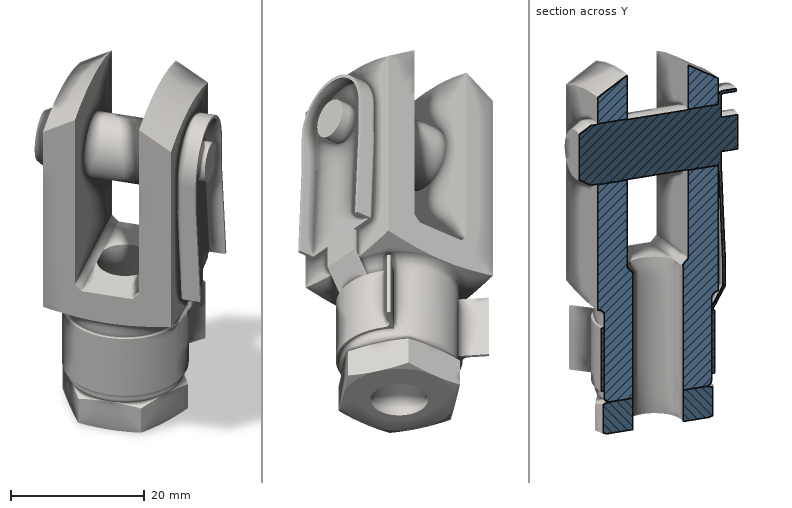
import cadquery as cq
import math

fork_width = 20.0
slot_width = fork_width / 2
slot_floor_z = 25.0
slot_chamfer = 1.0
total_height = 57.0
neck_diameter = 18.0
neck_end_round = 0.9
shoulder_z = 20.0
shoulder_fillet = 1.0
shoulder_slope = math.radians(15)
crown_axis_z = 24.0
crown_slope = math.radians(30)
bore_diameter = 8.65

nut_height = 5.0
nut_flats = 17.0
nut_chamfer_slope = math.radians(15)

pin_diameter = 10.0
pin_z = 45.0
pin_tip_x = -13.05
pin_tip_diameter = 7.75
pin_tip_length = 2.0
rivet_diameter = 6.1
rivet_end_x = 13.3

sheet = 0.5
lever_width = 14.25
lever_depth = 3.0
head_bend_radius = 0.75
leg_bend_radius = 0.55
lever_bend_z = 39.95
lever_end_z = 24.45
lever_lean = 0.7
ring_bottom_z = 6.95
ring_top_z = 17.1
tab_angle = 45
tab_end_radius = 13.55
tab_bend_radius = 1.0
strap_width = 6.25
strap_bend_z = 20.75
strap_foot_x = 8.3
strap_foot_overlap = 0.3

fork_half = fork_width / 2
neck_radius = neck_diameter / 2
corner_radius = fork_half * math.sqrt(2)
lever_end_x = fork_half + lever_lean


def cylinder_z(diameter, bottom, top):
    return cq.Workplane("XY").workplane(offset=bottom).circle(diameter / 2).extrude(top - bottom)


def cylinder_x(diameter, start, end):
    return (
        cq.Workplane("YZ", origin=(start, 0, pin_z)).circle(diameter / 2).extrude(end - start)
    )


def block_z(size_x, size_y, bottom, top):
    return cq.Workplane("XY").workplane(offset=bottom).rect(size_x, size_y).extrude(top - bottom)


def make_fork():
    shoulder_rise = (corner_radius - fork_half) * math.tan(shoulder_slope)
    shoulder_radius = neck_radius + shoulder_fillet
    arc_offset = shoulder_fillet * (1 - math.sqrt(0.5))
    turned = (
        cq.Workplane("XZ")
        .moveTo(0, nut_height)
        .lineTo(neck_radius - neck_end_round, nut_height)
        .radiusArc((neck_radius, nut_height + neck_end_round), -neck_end_round)
        .lineTo(neck_radius, shoulder_z - shoulder_fillet)
        .threePointArc(
            (neck_radius + arc_offset, shoulder_z - arc_offset),
            (shoulder_radius, shoulder_z),
        )
        .lineTo(corner_radius, shoulder_z + shoulder_rise)
        .lineTo(corner_radius, total_height)
        .lineTo(0, total_height)
        .close()
        .revolve(360, (0, 0, 0), (0, 1, 0))
    )
    fork = turned.intersect(block_z(fork_width, fork_width, nut_height, total_height))

    crown_inner = total_height - crown_axis_z
    crown_outer = crown_inner - (fork_half - slot_width / 2) * math.tan(crown_slope)
    crown = (
        cq.Workplane("XZ", origin=(0, 0, crown_axis_z))
        .moveTo(-fork_half, 0)
        .lineTo(-fork_half, crown_outer)
        .lineTo(-slot_width / 2, crown_inner)
        .lineTo(slot_width / 2, crown_inner)
        .lineTo(fork_half, crown_outer)
        .lineTo(fork_half, 0)
        .close()
        .revolve(360, (0, 0, 0), (1, 0, 0))
    )
    fork = fork.intersect(crown)

    slot = (
        block_z(slot_width, fork_width, slot_floor_z, total_height)
        .faces("<Z").edges("|Y").chamfer(slot_chamfer)
    )
    bore = cylinder_z(bore_diameter, nut_height, slot_floor_z)
    pin_hole = cylinder_x(pin_diameter, -fork_half, fork_half)
    return fork.cut(slot).cut(bore).cut(pin_hole)


def make_nut():
    across_corners = nut_flats / math.cos(math.pi / 6)
    flat_radius = nut_flats / 2
    tip_radius = across_corners / 2
    chamfer_height = (tip_radius - flat_radius) * math.tan(nut_chamfer_slope)
    envelope = (
        cq.Workplane("XZ")
        .moveTo(0, 0)
        .lineTo(flat_radius, 0)
        .lineTo(tip_radius, chamfer_height)
        .lineTo(tip_radius, nut_height - chamfer_height)
        .lineTo(flat_radius, nut_height)
        .lineTo(0, nut_height)
        .close()
        .revolve(360, (0, 0, 0), (0, 1, 0))
    )
    hexagon = cq.Workplane("XY").polygon(6, across_corners).extrude(nut_height)
    return hexagon.intersect(envelope).cut(cylinder_z(bore_diameter, 0, nut_height))


def make_pin():
    return (
        cq.Workplane("XZ", origin=(0, 0, pin_z))
        .moveTo(pin_tip_x, 0)
        .lineTo(pin_tip_x, pin_tip_diameter / 2)
        .lineTo(pin_tip_x + pin_tip_length, pin_diameter / 2)
        .lineTo(fork_half, pin_diameter / 2)
        .lineTo(fork_half, rivet_diameter / 2)
        .lineTo(rivet_end_x, rivet_diameter / 2)
        .lineTo(rivet_end_x, 0)
        .close()
        .revolve(360, (0, 0, 0), (1, 0, 0))
    )


def lever_head_block(start_x, half_width):
    """Round-topped block from start_x out to the lever rim."""
    return (
        cq.Workplane("YZ", origin=(start_x, 0, 0))
        .moveTo(-half_width, lever_bend_z)
        .lineTo(-half_width, pin_z)
        .threePointArc((0, pin_z + half_width), (half_width, pin_z))
        .lineTo(half_width, lever_bend_z)
        .close()
        .extrude(fork_half + lever_depth - start_x)
    )


def lever_leg_block(inset, half_width):
    """Leaning block below the head, its inner side moved outward by inset."""
    return (
        cq.Workplane("XZ", origin=(0, half_width, 0))
        .moveTo(fork_half + inset, lever_bend_z)
        .lineTo(fork_half + lever_depth, lever_bend_z)
        .lineTo(lever_end_x + lever_depth, lever_end_z)
        .lineTo(lever_end_x + inset, lever_end_z)
        .close()
        .extrude(2 * half_width)
    )


def make_lever():
    outer_half = lever_width / 2
    inner_half = outer_half - sheet

    head = lever_head_block(fork_half, outer_half)
    head = head.faces("<X").edges("not(<Z)").fillet(head_bend_radius)
    head_cavity = lever_head_block(fork_half + sheet, inner_half)
    head_cavity = head_cavity.faces("<X").edges("not(<Z)").fillet(head_bend_radius - sheet)

    nearest_edge = cq.selectors.NearestToPointSelector
    leg_mid_z = (lever_bend_z + lever_end_z) / 2
    leg_mid_x = fork_half + lever_lean / 2
    leg = lever_leg_block(0, outer_half)
    leg_cavity = lever_leg_block(sheet, inner_half)
    for side in (-1, 1):
        leg = leg.edges(
            nearest_edge((leg_mid_x, side * outer_half, leg_mid_z))
        ).fillet(leg_bend_radius)
        leg_cavity = leg_cavity.edges(
            nearest_edge((leg_mid_x + sheet, side * inner_half, leg_mid_z))
        ).fillet(leg_bend_radius - sheet)
    return head.cut(head_cavity).union(leg.cut(leg_cavity))


def make_strap():
    foot_z = ring_top_z - strap_foot_overlap
    strap = (
        cq.Workplane("XZ", origin=(0, strap_width / 2, 0))
        .moveTo(lever_end_x, lever_end_z)
        .lineTo(lever_end_x + sheet, lever_end_z)
        .lineTo(lever_end_x + sheet, strap_bend_z)
        .lineTo(strap_foot_x + sheet, foot_z)
        .lineTo(strap_foot_x, foot_z)
        .lineTo(lever_end_x, strap_bend_z)
        .close()
        .extrude(strap_width)
    )
    return strap.cut(cylinder_z(neck_diameter, ring_bottom_z, shoulder_z - shoulder_fillet))


def make_tab():
    """Radial tab on the +Y axis with its bend on the -X side."""
    ring_radius = neck_radius + sheet
    bend_x = -sheet / 2 - tab_bend_radius
    bend_y = math.sqrt((ring_radius + tab_bend_radius) ** 2 - bend_x ** 2)
    touch = ring_radius / (ring_radius + tab_bend_radius)
    tangent_point = (bend_x * touch, bend_y * touch)
    return (
        cq.Workplane("XY", origin=(0, 0, ring_bottom_z))
        .moveTo(sheet / 2, neck_radius)
        .lineTo(sheet / 2, tab_end_radius)
        .lineTo(-sheet / 2, tab_end_radius)
        .lineTo(-sheet / 2, bend_y)
        .radiusArc(tangent_point, tab_bend_radius)
        .lineTo(tangent_point[0], neck_radius - sheet)
        .close()
        .extrude(ring_top_z - ring_bottom_z)
    )


def make_snap_ring():
    reach = tab_end_radius
    opening = (
        cq.Workplane("XY", origin=(0, 0, ring_bottom_z))
        .polyline([(0, 0), (reach, reach), (-reach, reach)])
        .close()
        .extrude(ring_top_z - ring_bottom_z)
    )
    left_tab = make_tab().rotate((0, 0, 0), (0, 0, 1), tab_angle)
    right_tab = left_tab.mirror("YZ")
    ring = cylinder_z(neck_diameter + 2 * sheet, ring_bottom_z, ring_top_z).cut(opening)
    ring = ring.union(left_tab).union(right_tab)
    return ring.cut(cylinder_z(neck_diameter, ring_bottom_z, ring_top_z))


def make_clip_pin():
    """Pin and spring clip, riveted into one piece."""
    return make_pin().union(make_lever()).union(make_strap()).union(make_snap_ring())


fork = make_fork()
nut = make_nut()
clip_pin = make_clip_pin()

result = cq.Compound.makeCompound([fork.val(), nut.val(), clip_pin.val()])